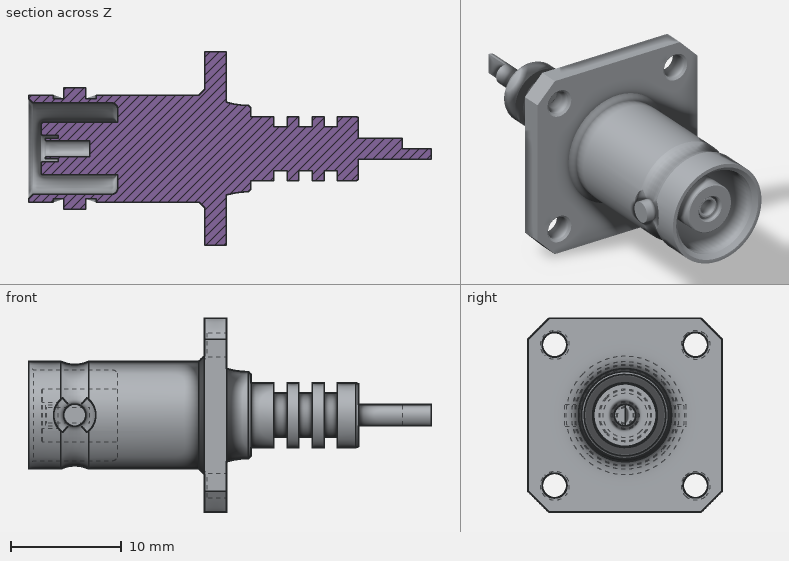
import cadquery as cq
import math

TOTAL_LENGTH = 36.3

FLANGE_SIDE = 17.5
FLANGE_FRONT = 15.85
FLANGE_THICKNESS = 2.0
FLANGE_REAR = FLANGE_FRONT + FLANGE_THICKNESS
CORNER_CUT = 1.9
HOLE_SPACING = 12.7
HOLE_DIAMETER = 2.2
COUNTERSINK_DIAMETER = 2.6

BARREL_RADIUS = 4.85
COLLAR_HEIGHT = 0.5
GROOVE_CENTER = 4.15
GROOVE_WIDTH = 2.5
GROOVE_DEPTH = 0.27

STUD_DIAMETER = 2.0
STUD_SPAN = 11.0
SEAT_DIAMETER = 3.8
SEAT_HEIGHT = 4.53

MOUTH_RADIUS = 4.5
BORE_RADIUS = 4.1
BORE_FLOOR_FILLET = 0.5
BORE_DEPTH = 8.0

INSULATOR_RADIUS = 2.38
INSULATOR_FRONT = 1.13
INSULATOR_CHAMFER = 0.1
INSULATOR_HOLE_RADIUS = 1.17
CONTACT_RADIUS = 0.95
CONTACT_RECESS = 0.35
CONTACT_GAP_DEPTH = 1.5
SOCKET_RADIUS = 0.7
SOCKET_DEPTH = 4.0
HOLE_CHAMFER = 0.1
SOCKET_CHAMFER = 0.1

HUB_FRONT_RADIUS = 4.2
HUB_REAR_RADIUS = 3.92
HUB_LENGTH = 2.2
HUB_CHAMFER = 0.25

TAIL_FRONT = FLANGE_REAR + HUB_LENGTH
TAIL_REAR = 29.75
TAIL_RADIUS = 2.92
TAIL_CORE_RADIUS = 2.0
TAIL_CHAMFER_LENGTH = 0.25
TAIL_CHAMFER_HEIGHT = 0.1
TAIL_GROOVES = [(22.1, 23.3), (24.35, 25.55), (26.65, 27.8)]

PIN_RADIUS = 0.97
PIN_FLAT_LENGTH = 2.6


def cylinder_x(radius, start, end):
    """Cylinder along the X axis from start to end."""
    return cq.Workplane("YZ").workplane(offset=start).circle(radius).extrude(end - start)


def revolve_about_x(profile):
    """Turn a closed (x, radius) profile about the X axis."""
    return profile.close().revolve(360, (0, 0, 0), (1, 0, 0))


def make_flange():
    plate = cq.Workplane("YZ").workplane(offset=FLANGE_FRONT).rect(FLANGE_SIDE, FLANGE_SIDE)
    plate = plate.extrude(FLANGE_THICKNESS).edges("|X").chamfer(CORNER_CUT)
    countersink_depth = (COUNTERSINK_DIAMETER - HOLE_DIAMETER) / 2
    cutter = revolve_about_x(
        cq.Workplane("XY")
        .moveTo(FLANGE_FRONT, 0)
        .lineTo(FLANGE_FRONT, COUNTERSINK_DIAMETER / 2)
        .lineTo(FLANGE_FRONT + countersink_depth, HOLE_DIAMETER / 2)
        .lineTo(FLANGE_REAR, HOLE_DIAMETER / 2)
        .lineTo(FLANGE_REAR, 0)
    )
    for side_y in (-1, 1):
        for side_z in (-1, 1):
            center = (0, side_y * HOLE_SPACING / 2, side_z * HOLE_SPACING / 2)
            plate = plate.cut(cutter.translate(center))
    return plate


def make_barrel():
    """Solid barrel with the shallow round groove and the cone that meets the flange."""
    groove_front = GROOVE_CENTER - GROOVE_WIDTH / 2
    groove_rear = GROOVE_CENTER + GROOVE_WIDTH / 2
    collar_start = FLANGE_FRONT - COLLAR_HEIGHT
    return revolve_about_x(
        cq.Workplane("XY")
        .moveTo(0, 0)
        .lineTo(0, BARREL_RADIUS)
        .lineTo(groove_front, BARREL_RADIUS)
        .threePointArc((GROOVE_CENTER, BARREL_RADIUS - GROOVE_DEPTH), (groove_rear, BARREL_RADIUS))
        .lineTo(collar_start, BARREL_RADIUS)
        .lineTo(FLANGE_FRONT, BARREL_RADIUS + COLLAR_HEIGHT)
        .lineTo(FLANGE_FRONT, 0)
    )


def add_studs(barrel):
    """Mill a flat round seat on each side of the barrel and stand a stud on it."""
    for side in (-1, 1):
        base = cq.Workplane("XZ", origin=(GROOVE_CENTER, side * SEAT_HEIGHT, 0))
        seat_cutter = base.circle(SEAT_DIAMETER / 2).extrude(-side * STUD_SPAN / 2)
        barrel = barrel.cut(seat_cutter)
    studs = cq.Workplane("XZ", origin=(GROOVE_CENTER, 0, 0)).circle(STUD_DIAMETER / 2)
    return barrel.union(studs.extrude(STUD_SPAN / 2, both=True))


def make_bore():
    """Space inside the barrel: lead-in cone, straight bore and a floor with a filleted corner."""
    lead_in = MOUTH_RADIUS - BORE_RADIUS
    return revolve_about_x(
        cq.Workplane("XY")
        .moveTo(0, 0)
        .lineTo(0, MOUTH_RADIUS)
        .lineTo(lead_in, BORE_RADIUS)
        .lineTo(BORE_DEPTH - BORE_FLOOR_FILLET, BORE_RADIUS)
        .radiusArc((BORE_DEPTH, BORE_RADIUS - BORE_FLOOR_FILLET), BORE_FLOOR_FILLET)
        .lineTo(BORE_DEPTH, 0)
    )


def make_insulator():
    """Insulator post with a recessed socket contact on its axis and a ring gap around the contact."""
    contact_front = INSULATOR_FRONT + CONTACT_RECESS
    gap_floor = INSULATOR_FRONT + CONTACT_GAP_DEPTH
    return revolve_about_x(
        cq.Workplane("XY")
        .moveTo(contact_front + SOCKET_DEPTH, 0)
        .lineTo(contact_front + SOCKET_DEPTH, SOCKET_RADIUS)
        .lineTo(contact_front + SOCKET_CHAMFER, SOCKET_RADIUS)
        .lineTo(contact_front, SOCKET_RADIUS + SOCKET_CHAMFER)
        .lineTo(contact_front, CONTACT_RADIUS)
        .lineTo(gap_floor, CONTACT_RADIUS)
        .lineTo(gap_floor, INSULATOR_HOLE_RADIUS)
        .lineTo(INSULATOR_FRONT + HOLE_CHAMFER, INSULATOR_HOLE_RADIUS)
        .lineTo(INSULATOR_FRONT, INSULATOR_HOLE_RADIUS + HOLE_CHAMFER)
        .lineTo(INSULATOR_FRONT, INSULATOR_RADIUS - INSULATOR_CHAMFER)
        .lineTo(INSULATOR_FRONT + INSULATOR_CHAMFER, INSULATOR_RADIUS)
        .lineTo(BORE_DEPTH, INSULATOR_RADIUS)
        .lineTo(BORE_DEPTH, 0)
    )


def make_hub():
    """Hub whose side curves in until it runs parallel to the axis, with a chamfered rear edge."""
    curve_end = TAIL_FRONT - HUB_CHAMFER
    run = curve_end - FLANGE_REAR
    drop = HUB_FRONT_RADIUS - HUB_REAR_RADIUS
    curve_radius = (run**2 + drop**2) / (2 * drop)
    half_angle = math.atan2(drop, run)
    curve_middle = (
        curve_end - curve_radius * math.sin(half_angle),
        HUB_REAR_RADIUS + curve_radius * (1 - math.cos(half_angle)),
    )
    return revolve_about_x(
        cq.Workplane("XY")
        .moveTo(FLANGE_REAR, 0)
        .lineTo(FLANGE_REAR, HUB_FRONT_RADIUS)
        .threePointArc(curve_middle, (curve_end, HUB_REAR_RADIUS))
        .lineTo(TAIL_FRONT, HUB_REAR_RADIUS - HUB_CHAMFER)
        .lineTo(TAIL_FRONT, 0)
    )


def make_tail():
    tail = cylinder_x(TAIL_RADIUS, TAIL_FRONT, TAIL_REAR)
    tail = tail.faces(">X").edges().chamfer(TAIL_CHAMFER_LENGTH, TAIL_CHAMFER_HEIGHT)
    for start, end in TAIL_GROOVES:
        ring = cylinder_x(TAIL_RADIUS, start, end).cut(cylinder_x(TAIL_CORE_RADIUS, start, end))
        tail = tail.cut(ring)
    return tail


def make_pin():
    """Round pin whose +Y half is cut away at the end."""
    pin = cylinder_x(PIN_RADIUS, TAIL_REAR, TOTAL_LENGTH)
    removed_half = cq.Workplane("XY").box(
        PIN_FLAT_LENGTH, PIN_RADIUS, 2 * PIN_RADIUS, centered=(False, False, True)
    )
    return pin.cut(removed_half.translate((TOTAL_LENGTH - PIN_FLAT_LENGTH, 0, 0)))


result = add_studs(make_barrel()).cut(make_bore()).union(make_insulator())
for piece in (make_flange(), make_hub(), make_tail(), make_pin()):
    result = result.union(piece)